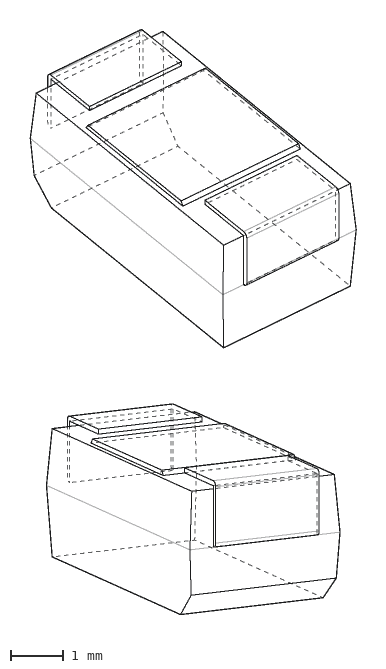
import cadquery as cq
import math

overall_length = 6.19
parting_width = 3.21
overall_height = 2.69

lead_thickness = 0.1
lead_width = 2.215
lead_foot_length = 1.3

parting_length = overall_length - 2 * lead_thickness
parting_z = 1.39
housing_top_z = 2.515
top_inset = 0.08
bottom_inset = 0.08
end_chamfer_z = 0.49
end_chamfer_x = 2.445

pad_height = 0.09
pad_base_length = 3.01
pad_top_length = 2.9
pad_width = 2.83


def tapered_half(far_z, inset):
    """Loft from the parting rectangle to a rectangle inset on all four sides."""
    return (
        cq.Workplane("XY")
        .workplane(offset=parting_z)
        .rect(parting_length, parting_width)
        .workplane(offset=far_z - parting_z)
        .rect(parting_length - 2 * inset, parting_width - 2 * inset)
        .loft(ruled=True)
    )


def end_chamfer_cutter():
    """Wedge that removes the lower edge at the -X end."""
    inset_at_chamfer = bottom_inset * (parting_z - end_chamfer_z) / parting_z
    end_face_x = -parting_length / 2 + inset_at_chamfer
    slope = end_chamfer_z / (-end_chamfer_x - end_face_x)
    outer_x = -overall_length / 2
    outer_z = end_chamfer_z + slope * (end_face_x - outer_x)
    return (
        cq.Workplane("XZ")
        .polyline([(outer_x, outer_z), (-end_chamfer_x, 0), (outer_x, 0)])
        .close()
        .extrude(parting_width / 2, both=True)
    )


def raised_pad():
    """Flat pad with sloped ends and straight sides."""
    pad_top_z = housing_top_z + pad_height
    return (
        cq.Workplane("XZ")
        .polyline([
            (-pad_base_length / 2, housing_top_z),
            (pad_base_length / 2, housing_top_z),
            (pad_top_length / 2, pad_top_z),
            (-pad_top_length / 2, pad_top_z),
        ])
        .close()
        .extrude(pad_width / 2, both=True)
    )


def make_housing():
    upper_half = tapered_half(housing_top_z, top_inset)
    lower_half = tapered_half(0, bottom_inset).cut(end_chamfer_cutter())
    return upper_half.union(lower_half).union(raised_pad())


def make_lead(side):
    """L-shaped lead at the +X (side = 1) or -X (side = -1) end, rounded on its outer corners."""
    outer_x = overall_length / 2
    inner_x = outer_x - lead_thickness
    foot_end_x = outer_x - lead_foot_length
    foot_bottom_z = overall_height - lead_thickness
    arc_reach = lead_thickness * math.sqrt(0.5)
    mid_bend_x = inner_x + arc_reach
    lower_bend_z = parting_z + lead_thickness
    upper_bend_z = overall_height - lead_thickness
    return (
        cq.Workplane("XZ")
        .moveTo(side * inner_x, parting_z)
        .threePointArc((side * mid_bend_x, lower_bend_z - arc_reach), (side * outer_x, lower_bend_z))
        .lineTo(side * outer_x, upper_bend_z)
        .threePointArc((side * mid_bend_x, upper_bend_z + arc_reach), (side * inner_x, overall_height))
        .lineTo(side * foot_end_x, overall_height)
        .lineTo(side * foot_end_x, foot_bottom_z)
        .lineTo(side * inner_x, foot_bottom_z)
        .close()
        .extrude(lead_width / 2, both=True)
    )


housing = make_housing()
leads = [make_lead(side) for side in (-1, 1)]

result = cq.Compound.makeCompound([housing.solids().val(), *[lead.solids().val() for lead in leads]])